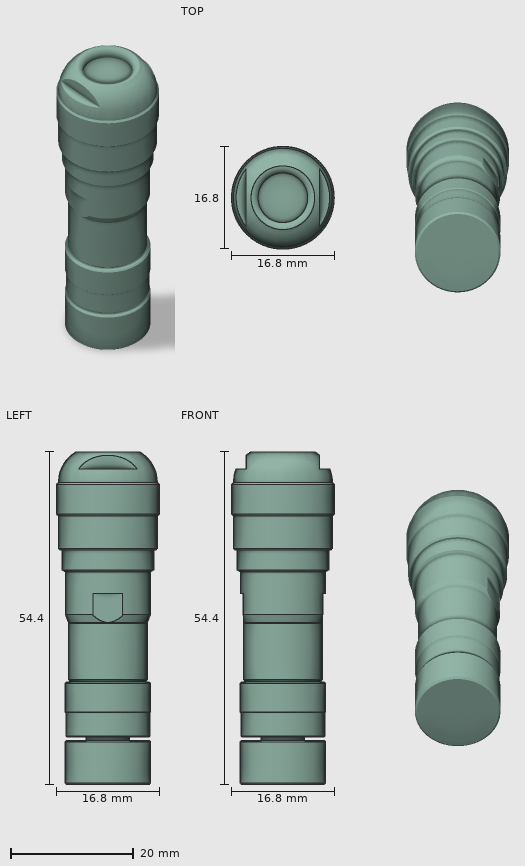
import cadquery as cq
import math

TOTAL_HEIGHT = 54.35
NUT_TOP = 7.2
COLLAR_BOTTOM = 7.8
COLLAR_TOP = 16.75
SLEEVE_BOTTOM = 26.3
CLAMP_RING_BOTTOM = 38.3
GRIP_RING_BOTTOM = 43.9
CAP_BOTTOM = 49.35

EDGE_CHAMFER = 0.3

NUT_RADIUS = 7.0
NUT_TOP_CHAMFER = 0.2
NECK_RADIUS = 3.55

COLLAR_RADIUS = 7.0
COLLAR_STEP_HEIGHT = 11.75
COLLAR_LOWER_RADIUS = 6.85
COLLAR_BOTTOM_CHAMFER = 0.15
COLLAR_TOP_CHAMFER = 0.25

BARREL_RADIUS = 6.45
BARREL_CHAMFER = 0.4

SLEEVE_RADIUS = 6.95
SLEEVE_TAPER_TOP = 27.8
SLEEVE_LIP_HEIGHT = 0.2
SHOULDER_RADIUS = 7.5
SHOULDER_BOTTOM = 34.75
SHOULDER_CHAMFER_HEIGHT = 0.35
SLEEVE_FLAT_TOP = 31.2
SLEEVE_FLAT_WIDTH = 4.8
SLEEVE_FLAT_OFFSET = BARREL_RADIUS

CLAMP_RING_RADIUS = 8.1
GRIP_RING_RADIUS = 8.4

CAP_RADIUS = 8.1
CAP_TOP_RADIUS = 5.2
BORE_RADIUS = 4.05
BORE_FLOOR = 52.0
CAP_FLAT_OFFSET = 6.0
CAP_FLAT_FLOOR = 51.6

PLUG_TOP = 52.8

CUTTER_SPAN = 3 * GRIP_RING_RADIUS


def cylinder(radius, bottom, top):
    return cq.Workplane("XY").workplane(offset=bottom).circle(radius).extrude(top - bottom)


def make_nut():
    nut = cylinder(NUT_RADIUS, 0, NUT_TOP)
    nut = nut.faces("<Z").edges().chamfer(EDGE_CHAMFER)
    nut = nut.faces(">Z").edges().chamfer(NUT_TOP_CHAMFER)
    neck = cylinder(NECK_RADIUS, NUT_TOP, COLLAR_BOTTOM)
    return nut.union(neck)


def make_collar():
    lower = cylinder(COLLAR_LOWER_RADIUS, COLLAR_BOTTOM, COLLAR_STEP_HEIGHT)
    lower = lower.faces("<Z").edges().chamfer(COLLAR_BOTTOM_CHAMFER)
    upper = cylinder(COLLAR_RADIUS, COLLAR_STEP_HEIGHT, COLLAR_TOP)
    upper = upper.faces("<Z").edges().chamfer(COLLAR_RADIUS - COLLAR_LOWER_RADIUS)
    upper = upper.faces(">Z").edges().chamfer(COLLAR_TOP_CHAMFER)
    return lower.union(upper)


def make_barrel():
    barrel = cylinder(BARREL_RADIUS, COLLAR_TOP, SLEEVE_BOTTOM)
    return barrel.faces("<Z").edges().chamfer(BARREL_CHAMFER)


def make_sleeve():
    sleeve = (
        cq.Workplane("XZ")
        .moveTo(0, SLEEVE_BOTTOM)
        .lineTo(BARREL_RADIUS, SLEEVE_BOTTOM)
        .lineTo(BARREL_RADIUS, SLEEVE_BOTTOM + SLEEVE_LIP_HEIGHT)
        .lineTo(SLEEVE_RADIUS, SLEEVE_TAPER_TOP)
        .lineTo(SLEEVE_RADIUS, SHOULDER_BOTTOM)
        .lineTo(SHOULDER_RADIUS, SHOULDER_BOTTOM + SHOULDER_CHAMFER_HEIGHT)
        .lineTo(SHOULDER_RADIUS, CLAMP_RING_BOTTOM)
        .lineTo(0, CLAMP_RING_BOTTOM)
        .close()
        .revolve(360, (0, 0, 0), (0, 1, 0))
    )
    flat_depth = SHOULDER_RADIUS - SLEEVE_FLAT_OFFSET
    for side in (-1, 1):
        flat = cq.Workplane("XY").box(
            flat_depth, SLEEVE_FLAT_WIDTH, SLEEVE_FLAT_TOP - SLEEVE_BOTTOM, centered=(True, True, False)
        )
        sleeve = sleeve.cut(flat.translate((side * (SLEEVE_FLAT_OFFSET + flat_depth / 2), 0, SLEEVE_BOTTOM)))
    return sleeve


def make_clamp_ring():
    ring = cylinder(CLAMP_RING_RADIUS, CLAMP_RING_BOTTOM, GRIP_RING_BOTTOM)
    return ring.faces("<Z").edges().chamfer(EDGE_CHAMFER)


def make_grip_ring():
    return cylinder(GRIP_RING_RADIUS, GRIP_RING_BOTTOM, CAP_BOTTOM).edges().chamfer(EDGE_CHAMFER)


def make_cap():
    rise = TOTAL_HEIGHT - CAP_BOTTOM
    inset = CAP_RADIUS - CAP_TOP_RADIUS
    arc_radius = (rise**2 + inset**2) / (2 * inset)
    half_sweep = math.asin(rise / arc_radius) / 2
    arc_middle = (
        CAP_RADIUS - arc_radius + arc_radius * math.cos(half_sweep),
        CAP_BOTTOM + arc_radius * math.sin(half_sweep),
    )
    lip_radius = CAP_TOP_RADIUS - BORE_RADIUS
    lip_middle = (
        CAP_TOP_RADIUS - lip_radius * math.sqrt(0.5),
        TOTAL_HEIGHT - lip_radius + lip_radius * math.sqrt(0.5),
    )
    cap = (
        cq.Workplane("XZ")
        .moveTo(0, CAP_BOTTOM)
        .lineTo(CAP_RADIUS, CAP_BOTTOM)
        .threePointArc(arc_middle, (CAP_TOP_RADIUS, TOTAL_HEIGHT))
        .threePointArc(lip_middle, (BORE_RADIUS, TOTAL_HEIGHT - lip_radius))
        .lineTo(BORE_RADIUS, BORE_FLOOR)
        .lineTo(0, BORE_FLOOR)
        .close()
        .revolve(360, (0, 0, 0), (0, 1, 0))
    )
    for side in (-1, 1):
        flat = cq.Workplane("XY").box(CUTTER_SPAN, CUTTER_SPAN, CUTTER_SPAN, centered=(True, True, False))
        cap = cap.cut(flat.translate((side * (CAP_FLAT_OFFSET + CUTTER_SPAN / 2), 0, CAP_FLAT_FLOOR)))
    return cap


def make_plug():
    return cylinder(BORE_RADIUS, BORE_FLOOR, PLUG_TOP)


nut = make_nut()
collar = make_collar()
barrel = make_barrel()
sleeve = make_sleeve()
clamp_ring = make_clamp_ring()
grip_ring = make_grip_ring()
cap = make_cap()
plug = make_plug()

result = cq.Compound.makeCompound(
    [body.val() for body in (nut, collar, barrel, sleeve, clamp_ring, grip_ring, cap, plug)]
)